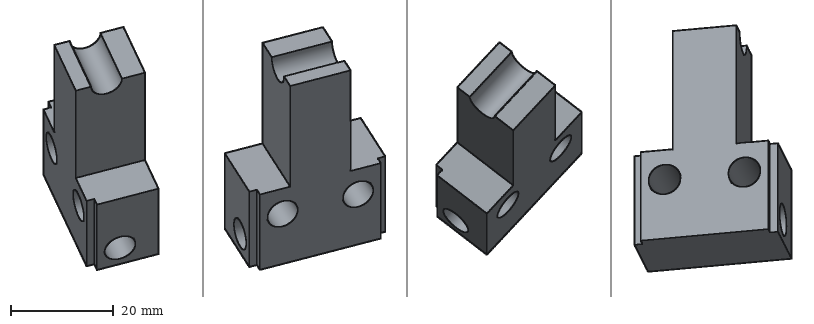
import cadquery as cq

base_width = 28.575
depth = 14.2875
base_height = 19.05
total_height = 44.45
tower_width = 12.7

rebate = 1.5875

hole_diameter = 6.35
front_hole_spacing = 15.875
front_hole_height = 12.7
cross_axis_y = 6.35
cross_hole_height = 4.7625


def centred_box(width, height):
    """Box of full depth, centred on X, with its front face at Y = 0 and its bottom at Z = 0."""
    return cq.Workplane("XY").box(width, depth, height, centered=(True, False, False))


def cylinder_along_x(y, z, length):
    """Cylinder of hole diameter along X, centred on X = 0."""
    start = cq.Workplane("YZ", origin=(-length / 2, y, z))
    return start.circle(hole_diameter / 2).extrude(length)


def cylinder_along_y(x, z):
    """Cylinder of hole diameter running from the front face to the back face."""
    return cq.Workplane("XZ").center(x, z).circle(hole_diameter / 2).extrude(-depth)


def edge_rebate(side):
    """Square strip along a front edge of the base; side is -1 for left and +1 for right."""
    strip = cq.Workplane("XY").box(rebate, rebate, base_height, centered=(True, False, False))
    return strip.translate((side * (base_width - rebate) / 2, 0, 0))


result = centred_box(base_width, base_height).union(centred_box(tower_width, total_height))

for side in (-1, 1):
    result = result.cut(edge_rebate(side))
    result = result.cut(cylinder_along_y(side * front_hole_spacing / 2, front_hole_height))

result = result.cut(cylinder_along_x(cross_axis_y, cross_hole_height, base_width))

result = result.cut(cylinder_along_x(cross_axis_y, total_height, tower_width))